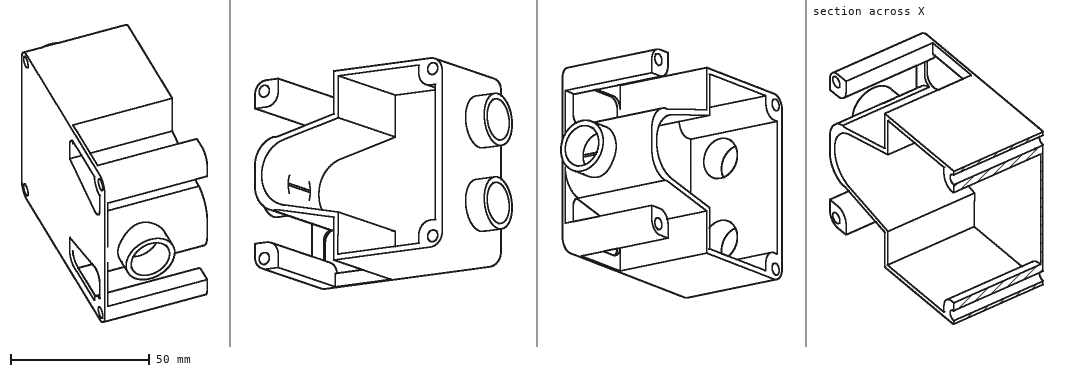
import cadquery as cq

overall_length = 96.0
pipe_length = 8.0
box_length = overall_length - 2 * pipe_length
box_depth = 40.0
box_height = 70.0
corner_radius = 5.0

side_wall = 2.0
end_wall = 3.0
plate_thickness = 1.2

right_x = box_length / 2
left_x = -right_x
top_z = box_height / 2
front_y = -box_depth / 2

post_size = 10.0
screw_hole_diameter = 4.3
screw_inset = 4.0

window_margin = 5.0
chamber_length = 46.4
window_left_x = left_x + chamber_length
window_right_x = right_x - window_margin
window_top_z = top_z - window_margin
window_left_z = 19.1
window_right_z = 12.5
window_radius = 4.0

taper_slope = (window_left_z - window_right_z) / (window_right_x - window_left_x)
nose_lift = 0.5
nose_radius = 10.0
cavity_shoulder_z = 17.5
cavity_nose_radius = 12.0

lean_start_z = 18.5
lean_offset = 0.3

pipe_diameter = 19.0
bore_diameter = 15.0
pipe_setback = 14.6
pipe_y = front_y + pipe_setback
inlet_z = 15.5


def extrude_from(y_start, sketch):
    """Extrude an XZ outline from y_start to the open back."""
    return sketch.extrude(-(box_depth / 2 - y_start))


def xz_plane(y):
    return cq.Workplane("XZ", origin=(0, y, 0))


def chamber(y_start, end_inset, side_inset, shoulder_z, tip_radius):
    """Chamber shape inset from the outside, extruded from y_start to the back."""
    nose_x = right_x - end_inset
    shoulder_x = window_left_x - side_inset
    nose_z = shoulder_z - taper_slope * (nose_x - shoulder_x)
    tail_x = left_x + end_inset
    side_z = top_z - side_inset
    outline = [
        (tail_x, -side_z),
        (shoulder_x, -side_z),
        (shoulder_x, -shoulder_z),
        (nose_x, -nose_z),
        (nose_x, nose_z),
        (shoulder_x, shoulder_z),
        (shoulder_x, side_z),
        (tail_x, side_z),
    ]
    body = extrude_from(y_start, xz_plane(y_start).polyline(outline).close())
    body = body.edges("|Y and <X").fillet(corner_radius - side_inset)
    return body.edges("|Y and >X").fillet(tip_radius)


def cavity():
    """Hollow of the chamber, open at the back; its lower shoulder wall leans outwards."""
    floor_y = front_y + plate_thickness
    hollow = chamber(floor_y, end_wall, side_wall, cavity_shoulder_z, cavity_nose_radius)
    wall_x = window_left_x - side_wall
    foot_z = side_wall - top_z
    lean = [(wall_x, -lean_start_z), (wall_x, foot_z), (wall_x + lean_offset, foot_z)]
    return hollow.union(extrude_from(floor_y, xz_plane(floor_y).polyline(lean).close()))


def corner_post(side_x, side_z):
    """Square post with its outer and inner corners rounded."""
    center = ((right_x - post_size / 2) * side_x, (top_z - post_size / 2) * side_z)
    post = extrude_from(front_y, xz_plane(front_y).center(*center).rect(post_size, post_size))
    rounded = "(>X and >Z) or (<X and <Z)" if side_x == side_z else "(>X and <Z) or (<X and >Z)"
    return post.edges("|Y").edges(rounded).fillet(corner_radius)


def window(side_z):
    """Plate opening, carried through the whole depth beside the nose."""
    outline = [
        (window_left_x, window_left_z * side_z),
        (window_right_x, window_right_z * side_z),
        (window_right_x, window_top_z * side_z),
        (window_left_x, window_top_z * side_z),
    ]
    cut = extrude_from(front_y, xz_plane(front_y).polyline(outline).close())
    end = ">Z" if side_z > 0 else "<Z"
    start = "<Z" if side_z > 0 else ">Z"
    return cut.edges(f"|Y and ((<X and {end}) or (>X and {start}))").fillet(window_radius)


def x_cylinder(start_x, z, diameter, length):
    return cq.Workplane("YZ", origin=(start_x, pipe_y, z)).circle(diameter / 2).extrude(length)


plate = xz_plane(front_y).rect(box_length, box_height).extrude(-plate_thickness)
plate = plate.edges("|Y").fillet(corner_radius)
result = plate.union(chamber(front_y, 0, 0, window_left_z + nose_lift, nose_radius))
for side_z in (-1, 1):
    result = result.cut(window(side_z))
result = result.cut(cavity())

for side_x in (-1, 1):
    for side_z in (-1, 1):
        result = result.union(corner_post(side_x, side_z))
result = result.cut(
    xz_plane(front_y)
    .rect(box_length - 2 * screw_inset, box_height - 2 * screw_inset, forConstruction=True)
    .vertices()
    .circle(screw_hole_diameter / 2)
    .extrude(-box_depth)
)

pipe_starts = [(-overall_length / 2, inlet_z), (-overall_length / 2, -inlet_z), (right_x - end_wall, 0)]
for start_x, z in pipe_starts:
    result = result.union(x_cylinder(start_x, z, pipe_diameter, pipe_length + end_wall))
for start_x, z in pipe_starts:
    result = result.cut(x_cylinder(start_x, z, bore_diameter, pipe_length + end_wall))